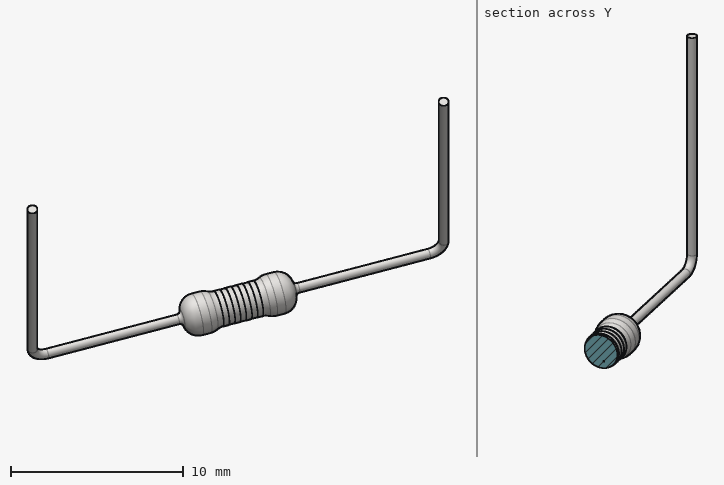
import cadquery as cq
import math

lead_span = 25.6
lead_diameter = 0.6
lead_height = 14.85
bend_radius = 0.9

cap_diameter = 2.5
waist_diameter = 2.12
flare_start = 1.2
flare_middle = 1.6
cap_inner = 2.0
cap_outer = 2.5
dome_end = 3.4
dome_end_radius = 0.5
collar_end = 3.65

band_diameter = 2.15
band_count = 4
band_width = 2 * flare_start / (2 * band_count - 1)

lead_radius = lead_diameter / 2
cap_radius = cap_diameter / 2
waist_radius = waist_diameter / 2
leg_y = lead_span / 2 - lead_radius


def body_end():
    """Revolve the +Y end, from the inner edge of the last band out to the wire."""
    inner_edge = flare_start - band_width
    rise_share = (flare_middle - flare_start) / (cap_inner - flare_start)
    flare_middle_radius = waist_radius + (cap_radius - waist_radius) * rise_share
    profile = (
        cq.Workplane("XY")
        .moveTo(0, inner_edge)
        .lineTo(waist_radius, inner_edge)
        .lineTo(waist_radius, flare_start)
        .tangentArcPoint((flare_middle_radius, flare_middle), relative=False)
        .tangentArcPoint((cap_radius, cap_inner), relative=False)
        .lineTo(cap_radius, cap_outer)
        .tangentArcPoint((dome_end_radius, dome_end), relative=False)
    )
    run = collar_end - dome_end
    drop = dome_end_radius - lead_radius
    collar_radius = (run**2 + drop**2) / (2 * drop)
    half_angle = math.asin(run / collar_radius) / 2
    collar_middle = (
        lead_radius + collar_radius * (1 - math.cos(half_angle)),
        collar_end - collar_radius * math.sin(half_angle),
    )
    return (
        profile.threePointArc(collar_middle, (lead_radius, collar_end))
        .lineTo(0, collar_end)
        .close()
        .revolve(360, (0, 0, 0), (0, 1, 0))
    )


def waist():
    """Plain cylinder that joins the two body ends."""
    half_length = flare_start - band_width
    return cq.Workplane("XZ").circle(waist_radius).extrude(half_length, both=True)


def colour_band(index):
    """Thin raised ring around the waist, counted from the -Y end."""
    start = -flare_start + 2 * index * band_width
    return (
        cq.Workplane("XZ", origin=(0, start, 0))
        .circle(band_diameter / 2)
        .extrude(-band_width)
    )


def bent_lead():
    """One wire running through the body axis and up into both legs."""
    bend_offset = bend_radius * math.sin(math.pi / 4)
    bend_y = leg_y - bend_radius
    path = (
        cq.Workplane("YZ")
        .moveTo(-leg_y, lead_height)
        .lineTo(-leg_y, bend_radius)
        .threePointArc((-bend_y - bend_offset, bend_radius - bend_offset), (-bend_y, 0))
        .lineTo(bend_y, 0)
        .threePointArc((bend_y + bend_offset, bend_radius - bend_offset), (leg_y, bend_radius))
        .lineTo(leg_y, lead_height)
    )
    return cq.Workplane("XY", origin=(0, -leg_y, lead_height)).circle(lead_radius).sweep(path)


end = body_end()
body = waist().union(end).union(end.mirror("XZ"))
for band_index in range(band_count):
    body = body.union(colour_band(band_index))

result = body.union(bent_lead())